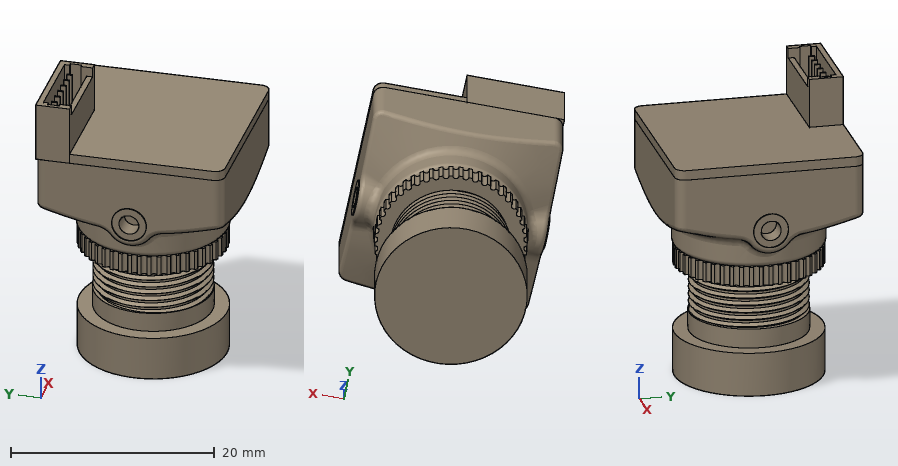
import cadquery as cq
import math

HEAD_TOP = 4.5
COLLAR_TOP = 6.48
RING_BOTTOM = 11.5
RING_TOP = 13.5
EAR_AXIS = 18.0
COVER_BOTTOM = 24.0
COVER_TOP = 25.0
CONNECTOR_TOP = 30.0

CASE_WIDTH = 19.0
HALF_CASE = CASE_WIDTH / 2
CORNER_RADIUS = 1.0
NECK_DIAMETER = 15.2
CONE_ANGLE = 22.5
CONE_EDGE_HEIGHT = 17.15
EDGE_RADIUS = 0.5
EAR_RADIUS = 2.5
EAR_BOTTOM = EAR_AXIS - EAR_RADIUS
EAR_BLEND_RADIUS = 1.75
NECK_BLEND_RADIUS = 1.0
SELECTION_MARGIN = 0.15
PAD_DIAMETER = 3.5
OVERALL_WIDTH = 19.2
PAD_HEIGHT = (OVERALL_WIDTH - CASE_WIDTH) / 2
SCREW_HOLE_DIAMETER = 2.0
SCREW_HOLE_DEPTH = 2.0

HEAD_DIAMETER = 15.0
RING_DIAMETER = 15.0
COLLAR_DIAMETER = 12.0
THREAD_ROOT_DIAMETER = 11.05
THREAD_CREST_DIAMETER = 11.9
THREAD_PITCH = 0.75
THREAD_BASE = 0.57
THREAD_SINK = 0.05
THREAD_START = 6.0
GROOVE_COUNT = 48
GROOVE_RADIUS = 0.3

CONNECTOR_LENGTH = 9.78
CONNECTOR_DEPTH = 3.45
END_WALL = 0.75
SIDE_WALL = 0.6
POCKET_FLOOR = COVER_TOP
FRONT_CUTOUT_DEPTH = 1.0
KEY_DEPTH = 0.33
KEY_WIDTH = 1.15
KEY_SETBACK = 1.1
CONNECTOR_X = -HALF_CASE + CONNECTOR_LENGTH / 2
CONNECTOR_Y = HALF_CASE - CONNECTOR_DEPTH / 2

PIN_COUNT = 6
PIN_PITCH = 1.2
PIN_WIDTH = 0.2
PIN_DEPTH = 0.57
PIN_TOP = 29.5
PIN_ROW_OFFSET = 0.15
PIN_ROW_SETBACK = 1.38
PIN_ROW_X = CONNECTOR_X + PIN_ROW_OFFSET
PIN_ROW_Y = HALF_CASE - PIN_ROW_SETBACK


def disc(diameter, bottom, top):
    return cq.Workplane("XY").workplane(offset=bottom).circle(diameter / 2).extrude(top - bottom)


def block(length, depth, bottom, top, x=0.0, y=0.0):
    base = cq.Workplane("XY").workplane(offset=bottom).center(x, y)
    return base.rect(length, depth).extrude(top - bottom)


def side_disc(diameter, half_length):
    """Disc along X through the ear axis, the same length to both sides."""
    base = cq.Workplane("YZ").center(0, EAR_AXIS)
    return base.circle(diameter / 2).extrude(half_length, both=True)


def case_with_conical_underside():
    slope = math.tan(math.radians(CONE_ANGLE))
    apex = CONE_EDGE_HEIGHT - HALF_CASE * slope
    cone_profile = [
        (0, apex),
        (CASE_WIDTH, apex + CASE_WIDTH * slope),
        (CASE_WIDTH, COVER_BOTTOM),
        (0, COVER_BOTTOM),
    ]
    cone = cq.Workplane("XZ").polyline(cone_profile).close().revolve(360, (0, 0), (0, 1))
    walls = block(CASE_WIDTH, CASE_WIDTH, RING_TOP, COVER_BOTTOM).edges("|Z").fillet(CORNER_RADIUS)
    return walls.intersect(cone)


def make_housing():
    case = case_with_conical_underside()
    neck = disc(NECK_DIAMETER, RING_TOP, EAR_AXIS)
    neck = neck.rotate((0, 0, 0), (0, 0, 1), 90)
    ears = side_disc(2 * EAR_RADIUS, HALF_CASE)
    body = case.union(neck).union(ears)

    left_zone, right_zone = [
        cq.selectors.BoxSelector(
            (side * NECK_DIAMETER / 2, -2 * EAR_RADIUS, EAR_BOTTOM + EDGE_RADIUS),
            (side * (HALF_CASE - EDGE_RADIUS), 2 * EAR_RADIUS, CONE_EDGE_HEIGHT),
        )
        for side in (-1, 1)
    ]

    body = body.edges(left_zone + right_zone).fillet(EAR_BLEND_RADIUS)
    neck_zone = cq.selectors.BoxSelector(
        (-NECK_DIAMETER / 2, -HALF_CASE, EAR_BOTTOM - SELECTION_MARGIN),
        (NECK_DIAMETER / 2, HALF_CASE, CONE_EDGE_HEIGHT),
    )
    body = body.edges(neck_zone).fillet(NECK_BLEND_RADIUS)

    front_rim = cq.selectors.NearestToPointSelector((0, -HALF_CASE, CONE_EDGE_HEIGHT))
    body = body.edges(front_rim).fillet(EDGE_RADIUS)
    body = body.faces("<Z").edges().fillet(EDGE_RADIUS)

    body = body.union(side_disc(PAD_DIAMETER, HALF_CASE + PAD_HEIGHT))
    holes = side_disc(SCREW_HOLE_DIAMETER, HALF_CASE + PAD_HEIGHT)
    core = side_disc(SCREW_HOLE_DIAMETER, HALF_CASE + PAD_HEIGHT - SCREW_HOLE_DEPTH)
    return body.cut(holes.cut(core))


def make_cover():
    plate = block(CASE_WIDTH, CASE_WIDTH, COVER_BOTTOM, COVER_TOP).edges("|Z").fillet(CORNER_RADIUS)
    notch = block(CONNECTOR_LENGTH, CONNECTOR_DEPTH, COVER_BOTTOM, COVER_TOP, CONNECTOR_X, CONNECTOR_Y)
    return plate.cut(notch)


def make_connector():
    pocket_length = CONNECTOR_LENGTH - 2 * END_WALL
    pocket_depth = CONNECTOR_DEPTH - 2 * SIDE_WALL
    keyed_length = pocket_length + 2 * KEY_DEPTH
    key_y = HALF_CASE - KEY_SETBACK - KEY_WIDTH / 2
    front_y = HALF_CASE - CONNECTOR_DEPTH + SIDE_WALL / 2
    cutout_bottom = CONNECTOR_TOP - FRONT_CUTOUT_DEPTH

    shell = block(CONNECTOR_LENGTH, CONNECTOR_DEPTH, COVER_BOTTOM, CONNECTOR_TOP, CONNECTOR_X, CONNECTOR_Y)
    pocket = block(pocket_length, pocket_depth, POCKET_FLOOR, CONNECTOR_TOP, CONNECTOR_X, CONNECTOR_Y)
    keyways = block(keyed_length, KEY_WIDTH, POCKET_FLOOR, CONNECTOR_TOP, CONNECTOR_X, key_y)
    front_cutout = block(pocket_length, SIDE_WALL, cutout_bottom, CONNECTOR_TOP, CONNECTOR_X, front_y)
    return shell.cut(pocket).cut(keyways).cut(front_cutout)


def make_pin(index):
    x = PIN_ROW_X + (index - (PIN_COUNT - 1) / 2) * PIN_PITCH
    return block(PIN_WIDTH, PIN_DEPTH, POCKET_FLOOR, PIN_TOP, x, PIN_ROW_Y)


def make_thread():
    """Right-handed V ridge whose ends are buried in the collar and the ring."""
    root = THREAD_ROOT_DIAMETER / 2
    crest = THREAD_CREST_DIAMETER / 2
    height = RING_BOTTOM + THREAD_PITCH / 2 - THREAD_START
    path = cq.Workplane(cq.Wire.makeHelix(THREAD_PITCH, height, root))
    ridge = [
        (root - THREAD_SINK, -THREAD_BASE / 2),
        (crest, 0),
        (root - THREAD_SINK, THREAD_BASE / 2),
    ]
    thread = cq.Workplane("XZ").polyline(ridge).close().sweep(path, isFrenet=True)
    return thread.translate((0, 0, THREAD_START))


def make_knurled_ring():
    ring = disc(RING_DIAMETER, RING_BOTTOM, RING_TOP)
    grooves = (
        cq.Workplane("XY")
        .workplane(offset=RING_BOTTOM)
        .polarArray(RING_DIAMETER / 2, 0, 360, GROOVE_COUNT)
        .circle(GROOVE_RADIUS)
        .extrude(RING_TOP - RING_BOTTOM)
    )
    return ring.cut(grooves)


def make_lens():
    head = disc(HEAD_DIAMETER, 0, HEAD_TOP)
    collar = disc(COLLAR_DIAMETER, HEAD_TOP, COLLAR_TOP)
    barrel = disc(THREAD_ROOT_DIAMETER, COLLAR_TOP, RING_BOTTOM)
    plain_lens = head.union(collar).union(barrel).union(make_knurled_ring())
    return plain_lens.union(make_thread())


housing = make_housing()
cover = make_cover()
connector = make_connector()
pins = [make_pin(index) for index in range(PIN_COUNT)]
lens = make_lens()

result = cq.Compound.makeCompound(
    [
        housing.solids().val(),
        cover.solids().val(),
        connector.solids().val(),
        *[pin.val() for pin in pins],
        lens.solids().val(),
    ]
)